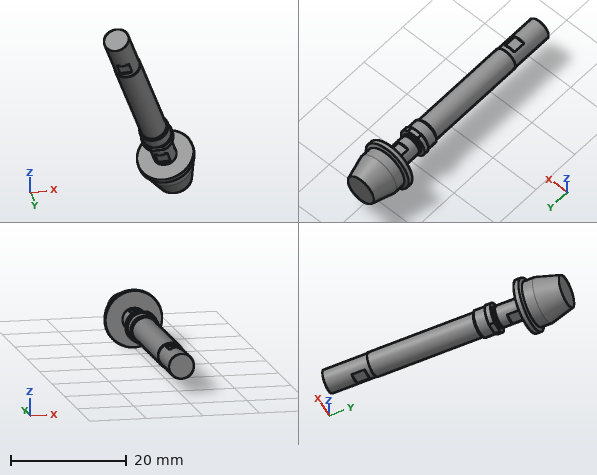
import cadquery as cq

total_length = 45.9
cone_end = 4.45
head_end = 6.45
flange_rim_start = 6.8
flange_end = 7.75
groove_start = 12.75
groove_end = 13.1
ring_start = 13.35
ring_end = 14.4
collar_end = 16.65
collar_taper_end = 16.9
barrel_end = 37.25

tip_radius = 3.05
head_radius = 4.25
flange_radius = 5.0
neck_radius = 2.0
groove_radius = 1.85
ring_radius = 2.75
collar_radius = 2.55
collar_foot_radius = 2.4
barrel_radius = 2.3
plunger_radius = 2.2

wrench_flat_length = 2.5
neck_flat_start = 8.45
neck_flat_height = 1.7
plunger_flat_start = 38.33
plunger_flat_height = 1.95
ring_flat_length = ring_end - ring_start
ring_flat_height = 2.52


def axial(station):
    """Y coordinate of a station, with the plunger's free end at Y = 0."""
    return total_length - station


def turned_body():
    """Revolve the half profile, given as (radius, station), about the Y axis."""
    groove_middle = (groove_start + groove_end) / 2
    profile = [
        (0, 0),
        (tip_radius, 0),
        (head_radius, cone_end),
        (head_radius, head_end),
        (flange_radius, flange_rim_start),
        (flange_radius, flange_end),
        (neck_radius, flange_end),
        (neck_radius, groove_start),
        (groove_radius, groove_middle),
        (neck_radius, groove_end),
        (neck_radius, ring_start),
        (ring_radius, ring_start),
        (ring_radius, ring_end),
        (collar_radius, ring_end),
        (collar_radius, collar_end),
        (collar_foot_radius, collar_end),
        (barrel_radius, collar_taper_end),
        (barrel_radius, barrel_end),
        (plunger_radius, barrel_end),
        (plunger_radius, total_length),
        (0, total_length),
    ]
    points = [(radius, axial(station)) for radius, station in profile]
    return cq.Workplane("XY").polyline(points).close().revolve(360, (0, 0), (0, 1))


def cut_flat_pair(body, start, length, height):
    """Trim one length of the body to lie between Z = -height and Z = +height."""
    upper_block = (
        cq.Workplane("XY")
        .workplane(offset=height)
        .center(0, axial(start + length / 2))
        .rect(2 * flange_radius, length)
        .extrude(flange_radius)
    )
    return body.cut(upper_block).cut(upper_block.mirror("XY"))


result = turned_body()
result = cut_flat_pair(result, neck_flat_start, wrench_flat_length, neck_flat_height)
result = cut_flat_pair(result, ring_start, ring_flat_length, ring_flat_height)
result = cut_flat_pair(result, plunger_flat_start, wrench_flat_length, plunger_flat_height)